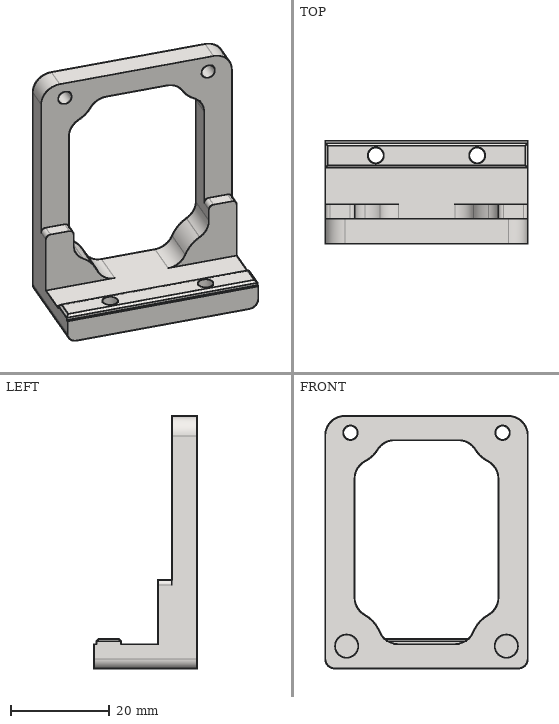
import cadquery as cq
import math

WIDTH = 41.2
DEPTH = 21.0
HEIGHT = 51.35
TOP_CORNER_RADIUS = 4.0
BOTTOM_CORNER_RADIUS = 2.0

PLATE_THICKNESS = 5.15
BLOCK_DEPTH = 8.0
BLOCK_HEIGHT = 18.0
BLOCK_ROUNDING = 1.0
FOOT_HEIGHT = 5.0

SIDE_BORDER = 6.0
TOP_BORDER = 5.0
WINDOW_BLEND_RADIUS = 4.0
TOP_LOBE_RADIUS = 6.5
BOTTOM_LOBE_RADIUS = 7.35

TOP_HOLE_DIAMETER = 2.9
TOP_HOLE_X = WIDTH / 2 - 5.15
TOP_HOLE_Z = HEIGHT - 3.45
PIN_HOLE_DIAMETER = 4.7
PIN_HOLE_X = WIDTH / 2 - 4.35
PIN_HOLE_Z = 4.55
PIN_HOLE_DEPTH = PLATE_THICKNESS

RAIL_HEIGHT = 1.1
RAIL_LENGTH = 5.05
RAIL_BACK_SETBACK = 0.5
RAIL_CHAMFER = 0.5
RAIL_HOLE_DIAMETER = 3.2
RAIL_HOLE_SPACING = WIDTH / 2

SIDES = (-1, 1)


def front_box(width, depth, height):
    """Box centred in X, standing on Z = 0 and running back from Y = 0."""
    return cq.Workplane("XY").box(width, depth, height, centered=(True, False, False))


def plate_cylinder(x, z, diameter, depth):
    """Cylinder running back from the front face."""
    start = cq.Vector(x, 0, z)
    return cq.Workplane(cq.Solid.makeCylinder(diameter / 2, depth, start, cq.Vector(0, 1, 0)))


def lobe_points(lobe_x, lobe_z, lobe_radius, edge_z, inward):
    """Points of one right-hand window corner, from the side edge to the horizontal edge.

    A lobe concentric with the screw hole bulges into the window and a blend arc
    joins it tangentially to each edge. inward is the Z direction into the window.
    """
    reach = lobe_radius + WINDOW_BLEND_RADIUS
    side_x = WIDTH / 2 - SIDE_BORDER
    side_center_x = side_x - WINDOW_BLEND_RADIUS
    side_center_z = lobe_z + inward * math.sqrt(reach**2 - (lobe_x - side_center_x) ** 2)
    edge_center_z = edge_z + inward * WINDOW_BLEND_RADIUS
    edge_center_x = lobe_x - math.sqrt(reach**2 - (edge_center_z - lobe_z) ** 2)

    def toward(center_x, center_z, angle, radius):
        return (center_x + radius * math.cos(angle), center_z + radius * math.sin(angle))

    side_angle = math.atan2(side_center_z - lobe_z, side_center_x - lobe_x) % (2 * math.pi)
    edge_angle = math.atan2(edge_center_z - lobe_z, edge_center_x - lobe_x) % (2 * math.pi)
    facing_edge = -inward * math.pi / 2
    side_blend_angle = (math.remainder(side_angle - math.pi, 2 * math.pi)) / 2
    edge_blend_angle = (math.remainder(edge_angle - math.pi, 2 * math.pi) + facing_edge) / 2
    return [
        (side_x, side_center_z),
        toward(side_center_x, side_center_z, side_blend_angle, WINDOW_BLEND_RADIUS),
        toward(lobe_x, lobe_z, side_angle, lobe_radius),
        toward(lobe_x, lobe_z, (side_angle + edge_angle) / 2, lobe_radius),
        toward(lobe_x, lobe_z, edge_angle, lobe_radius),
        toward(edge_center_x, edge_center_z, edge_blend_angle, WINDOW_BLEND_RADIUS),
        (edge_center_x, edge_z),
    ]


def mirrored(points):
    """Points reflected in X and taken in reverse order."""
    return [(-x, z) for x, z in reversed(points)]


def make_window():
    top = lobe_points(TOP_HOLE_X, TOP_HOLE_Z, TOP_LOBE_RADIUS, HEIGHT - TOP_BORDER, -1)
    bottom = lobe_points(PIN_HOLE_X, PIN_HOLE_Z, BOTTOM_LOBE_RADIUS, FOOT_HEIGHT, 1)
    bottom.reverse()
    corners = [top, mirrored(top), mirrored(bottom), bottom]
    outline = cq.Workplane("XZ").moveTo(*corners[0][0])
    for index, corner in enumerate(corners):
        if index > 0:
            outline = outline.lineTo(*corner[0])
        for middle, end in zip(corner[1::2], corner[2::2]):
            outline = outline.threePointArc(middle, end)
    return outline.close().extrude(-BLOCK_DEPTH)


def make_foot():
    return front_box(WIDTH, DEPTH, FOOT_HEIGHT)


def make_plate():
    plate = front_box(WIDTH, PLATE_THICKNESS, HEIGHT)
    return plate.edges("|Y and >Z").fillet(TOP_CORNER_RADIUS)


def make_posts():
    """Reinforcing posts behind the lower corners of the plate."""
    blocks = front_box(WIDTH, BLOCK_DEPTH, BLOCK_HEIGHT)
    gap = front_box(WIDTH - 2 * SIDE_BORDER, BLOCK_DEPTH, BLOCK_HEIGHT)
    rounded = blocks.cut(gap).edges("|Y and >Z").fillet(BLOCK_ROUNDING)
    lower = front_box(WIDTH, BLOCK_DEPTH, BLOCK_HEIGHT - BLOCK_ROUNDING)
    return rounded.union(lower)


def make_rail():
    front_y = DEPTH - RAIL_BACK_SETBACK - RAIL_LENGTH
    rail = front_box(WIDTH, RAIL_LENGTH, RAIL_HEIGHT).faces(">Z").chamfer(RAIL_CHAMFER)
    return rail.translate((0, front_y, FOOT_HEIGHT))


body = make_foot().union(make_posts()).edges("|Y and <Z").fillet(BOTTOM_CORNER_RADIUS)
plate = make_plate().edges("|Y and <Z").fillet(BOTTOM_CORNER_RADIUS)
result = body.union(plate).cut(make_window()).union(make_rail())

rail_center_y = DEPTH - RAIL_BACK_SETBACK - RAIL_LENGTH / 2
for side in SIDES:
    result = result.cut(plate_cylinder(side * TOP_HOLE_X, TOP_HOLE_Z, TOP_HOLE_DIAMETER, PLATE_THICKNESS))
    result = result.cut(plate_cylinder(side * PIN_HOLE_X, PIN_HOLE_Z, PIN_HOLE_DIAMETER, PIN_HOLE_DEPTH))
    rail_hole = cq.Workplane("XY").circle(RAIL_HOLE_DIAMETER / 2).extrude(FOOT_HEIGHT + RAIL_HEIGHT)
    result = result.cut(rail_hole.translate((side * RAIL_HOLE_SPACING / 2, rail_center_y, 0)))